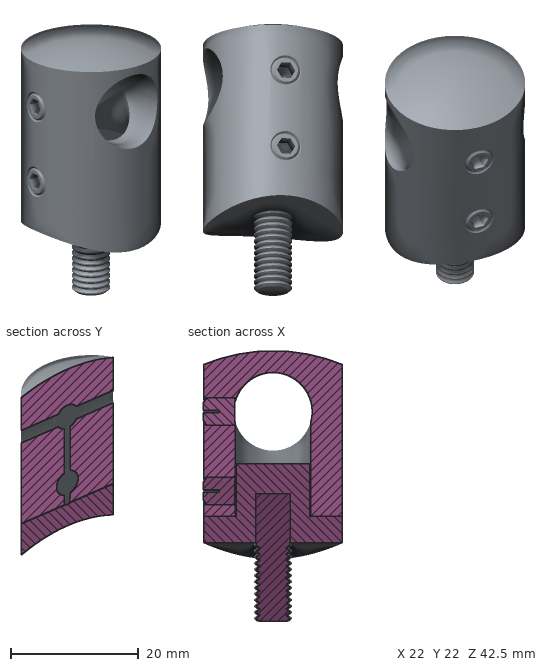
import cadquery as cq
import math

total_height = 42.45
body_dia = 22.0
body_radius = body_dia / 2

joint_z = 16.43
dome_height = 2.2
rim_z = total_height - dome_height
bar_hole_dia = 12.2
bar_hole_z = 32.85
bore_dia = 12.0

boss_dia = 11.9
boss_top_z = 24.7
saddle_radius = 25.0
saddle_top_z = 12.3

stud_dia = 6.0
stud_root_dia = 5.0
stud_length = 20.0
thread_length = 12.1
thread_crest_flat = 0.15
thread_count = 13
tip_chamfer_height = 0.42

screw_dia = 5.0
screw_face_dia = 3.78
screw_length = 5.0
screw_hole_dia = 4.2
screw_hole_chamfer = 0.35
lower_screw_z = 20.4
screw_heights = [bar_hole_z, lower_screw_z]
hex_across_flats = 2.5
hex_depth = 2.5
drill_point_angle = 118.0


def cylinder_z(diameter, bottom_z, top_z):
    return cq.Workplane("XY", origin=(0, 0, bottom_z)).circle(diameter / 2).extrude(top_z - bottom_z)


def front_sketch(z):
    """Sketch plane touching the front (-Y) of the body at height z, extruding towards +Y."""
    return cq.Workplane(cq.Plane(origin=(0, -body_radius, z), xDir=(1, 0, 0), normal=(0, 1, 0)))


def cylinder_from_front(diameter, z, depth):
    return front_sketch(z).circle(diameter / 2).extrude(depth)


def make_screw_blank(z):
    """Set screw without its socket: a cylinder with a 45 degree chamfer at the outer face."""
    face_chamfer = (screw_dia - screw_face_dia) / 2
    return cylinder_from_front(screw_dia, z, screw_length).faces("<Y").chamfer(face_chamfer)


def make_screw(z, pointed_socket):
    """Set screw with a hexagon socket, which may end in a drill point."""
    hex_across_corners = hex_across_flats / math.cos(math.radians(30))
    socket = front_sketch(z).polygon(6, hex_across_corners).extrude(hex_depth)
    screw = make_screw_blank(z).cut(socket)
    if pointed_socket:
        drill_radius = hex_across_flats / 2
        point_depth = drill_radius / math.tan(math.radians(drill_point_angle / 2))
        drill_point = cq.Solid.makeCone(
            drill_radius, 0, point_depth,
            pnt=cq.Vector(0, hex_depth - body_radius, z), dir=cq.Vector(0, 1, 0),
        )
        screw = screw.cut(cq.Workplane(drill_point))
    return screw


def make_housing():
    """Domed cylinder with a cross hole, a vertical bore and two chamfered screw holes."""
    dome_radius = (body_radius**2 + dome_height**2) / (2 * dome_height)
    dome_mid_x = body_radius / 2
    dome_mid_z = total_height - dome_radius + math.sqrt(dome_radius**2 - dome_mid_x**2)
    housing = (
        cq.Workplane("XZ")
        .moveTo(0, joint_z)
        .lineTo(body_radius, joint_z)
        .lineTo(body_radius, rim_z)
        .threePointArc((dome_mid_x, dome_mid_z), (0, total_height))
        .close()
        .revolve(360, (0, 0, 0), (0, 1, 0))
    )

    for z in screw_heights:
        housing = housing.cut(cylinder_from_front(screw_hole_dia, z, body_radius))
        mouth = cq.selectors.BoxSelector(
            (-screw_dia, -body_radius - screw_dia / 2, z - screw_dia),
            (screw_dia, -body_radius + screw_dia / 2, z + screw_dia),
        )
        housing = housing.edges(mouth).chamfer(screw_hole_chamfer)

    bar_hole = cq.Workplane("YZ").center(0, bar_hole_z).circle(bar_hole_dia / 2).extrude(body_radius, both=True)
    housing = housing.cut(bar_hole)
    housing = housing.cut(cylinder_z(bore_dia, joint_z, bar_hole_z))

    for z in screw_heights:
        housing = housing.cut(make_screw_blank(z))
    return housing


def make_base():
    """Saddle base: disc with a boss on top, a curved underside and a hole for the stud."""
    base = cylinder_z(body_dia, 0, joint_z).union(cylinder_z(boss_dia, joint_z, boss_top_z))
    tube = (
        cq.Workplane("XZ")
        .center(0, saddle_top_z - saddle_radius)
        .circle(saddle_radius)
        .extrude(body_radius, both=True)
    )
    return base.cut(tube).cut(cylinder_z(stud_dia, 0, stud_length))


def make_stud():
    """Stud with ring-shaped thread crests below the saddle and a plain shank inside the base."""
    crest_radius = stud_dia / 2
    root_radius = stud_root_dia / 2
    thread_pitch = (thread_length - thread_crest_flat - tip_chamfer_height) / (thread_count - 1)
    outline = [(0, 0), (root_radius, 0)]
    for crest in range(thread_count):
        crest_bottom = tip_chamfer_height + crest * thread_pitch
        crest_top = crest_bottom + thread_crest_flat
        outline.append((crest_radius, crest_bottom))
        if crest < thread_count - 1:
            next_crest_bottom = crest_bottom + thread_pitch
            outline.append((crest_radius, crest_top))
            outline.append((root_radius, (crest_top + next_crest_bottom) / 2))
    outline += [(crest_radius, stud_length), (0, stud_length)]
    return cq.Workplane("XZ").polyline(outline).close().revolve(360, (0, 0, 0), (0, 1, 0))


housing = make_housing()
base = make_base()
stud = make_stud()
screws = [make_screw(z, pointed_socket=(z == bar_hole_z)) for z in screw_heights]

result = cq.Compound.makeCompound(
    [body.solids().val() for body in [housing, base, stud, *screws]]
)